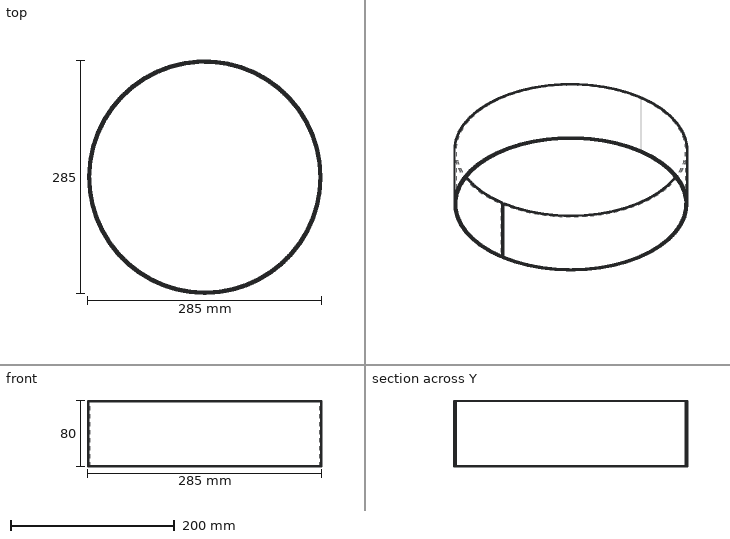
import cadquery as cq
import math

outer_diameter = 285.0
wall_thickness = 2.5
band_height = 80.0
outer_rim_chamfer = 0.5
inner_rim_chamfer = 0.2
split_angle = 1.0

outer_radius = outer_diameter / 2
inner_radius = outer_radius - wall_thickness


def make_band():
    """Closed band standing on Z = 0, with its outer and inner rim edges chamfered."""
    outer_body = cq.Workplane("XY").circle(outer_radius).extrude(band_height)
    outer_body = outer_body.faces("|Z").edges().chamfer(outer_rim_chamfer)
    bore = cq.Workplane("XY").circle(inner_radius).extrude(band_height)
    band = outer_body.cut(bore)
    smallest_circles = cq.selectors.RadiusNthSelector(0)
    return band.edges(smallest_circles).chamfer(inner_rim_chamfer)


def make_split_cutter():
    """Full-height wedge from the axis past the -X side, from Y = 0 opening toward +Y."""
    reach = outer_radius + wall_thickness
    opening = reach * math.tan(math.radians(split_angle))
    wedge = cq.Workplane("XY").polyline([(0, 0), (-reach, 0), (-reach, opening)]).close()
    return wedge.extrude(band_height)


result = make_band().cut(make_split_cutter())